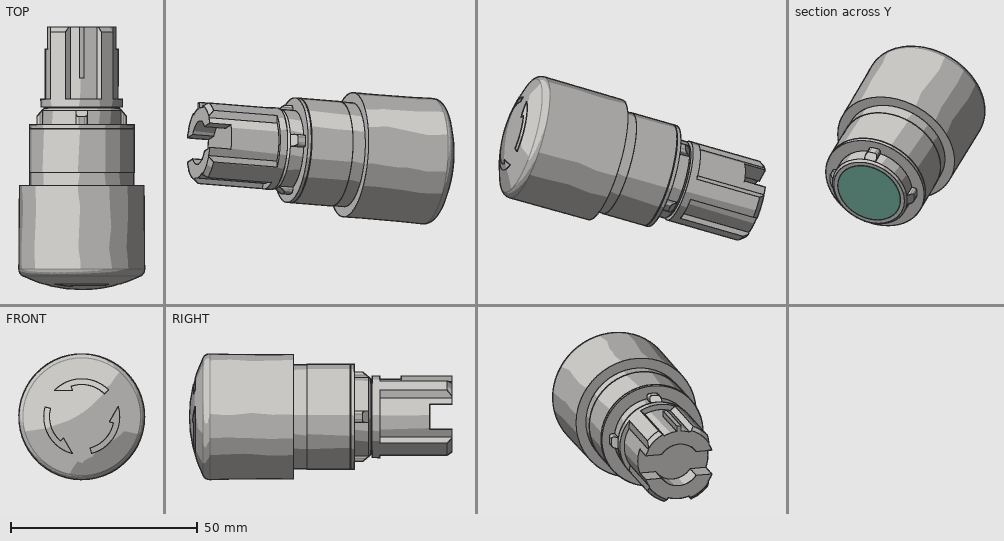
import cadquery as cq
import math

OVERALL_LENGTH = 70.5
REAR_END = 26.2
HEAD_TIP = REAR_END - OVERALL_LENGTH

LOBE_RADIUS = 11.0
LOBE_LENGTH = 19.4
LOBE_CHAMFER_DEPTH = 1.0
LOBE_CHAMFER_LENGTH = 1.35
BORE_DIAMETER = 11.7
SLOT_HEIGHT = 6.7
SLOT_DEPTH = 6.0
KEY_WIDTH = 1.2
KEY_LENGTH = 13.7

GROOVE_CUTTER_RADIUS = 16.0

KEY_FLOOR_RADIUS = 9.5
SIDE_FLOOR_RADIUS = 9.8
GROOVES = [
    (SIDE_FLOOR_RADIUS, -40.2, -33.4, 30.7, 40.4),
    (KEY_FLOOR_RADIUS, 61.4, 64.6, 108.4, 113.3),
    (SIDE_FLOOR_RADIUS, 139.6, 149.3, 213.4, 220.2),
    (KEY_FLOOR_RADIUS, 250.2, 251.9, 288.1, 289.8),
]

FLANGE_FRONT = REAR_END - 21.5
FLANGE_REAR = REAR_END - LOBE_LENGTH
NECK_RADIUS = 9.0
NECK_WIDTH = 0.3

COLLAR_RADIUS = 10.7
COLLAR_REAR = FLANGE_FRONT - NECK_WIDTH
COLLAR_CHAMFER = 0.6
LUG_COUNT = 4
LUG_WIDTH = 3.2
LUG_TOP_RADIUS = 12.05
LUG_REAR = COLLAR_REAR - COLLAR_CHAMFER
LUG_EDGE_FILLET = 0.8
LUG_SLOPE_LENGTH = 1.7
LUG_SLOPE_HEIGHT = LUG_TOP_RADIUS - COLLAR_RADIUS

SLEEVE_RADIUS = 14.1
SLEEVE_FRONT = -12.8
GASKET_THICKNESS = 1.0
GASKET_GROOVE_RADIUS = 13.6
GASKET_GROOVE_WIDTH = 0.15
PLUNGER_RADIUS = 14.0

HEAD_REAR = -16.3
HEAD_REAR_RADIUS = 16.75
HEAD_FRONT_RADIUS = 16.92
DOME_RADIUS = 35.8
HEAD_FILLET = 2.0

ARROW_COUNT = 3
ARROW_OUTER_RADIUS = 10.2
ARROW_INNER_RADIUS = 8.65
ARROW_TAIL_ANGLE = 45.0
ARROW_NECK_ANGLE = 109.0
ARROW_TIP_ANGLE = 136.0
ARROW_BARB_X = -2.5
ARROW_DEPTH = 0.1


def polar(radius, angle):
    """Point in the XZ plane at an angle measured from +X towards +Z."""
    return (radius * math.cos(math.radians(angle)), radius * math.sin(math.radians(angle)))


def section(y):
    """Workplane across the axis; local x is +X, local y is +Z, extrusion runs towards -Y."""
    return cq.Workplane("XZ", origin=(0, y, 0))


def disc(radius, y_rear, y_front):
    return section(y_rear).circle(radius).extrude(y_rear - y_front)


def dome_y(radius):
    """Y of the spherical dome surface at a given distance from the axis."""
    return HEAD_TIP + DOME_RADIUS - math.sqrt(DOME_RADIUS ** 2 - radius ** 2)


def make_head():
    rim_y = dome_y(HEAD_FRONT_RADIUS)
    half_radius = HEAD_FRONT_RADIUS / 2
    head = (
        cq.Workplane("XY")
        .moveTo(0, HEAD_REAR)
        .lineTo(HEAD_REAR_RADIUS, HEAD_REAR)
        .lineTo(HEAD_FRONT_RADIUS, rim_y)
        .threePointArc((half_radius, dome_y(half_radius)), (0, HEAD_TIP))
        .close()
        .revolve(360, (0, 0, 0), (0, 1, 0))
    )
    rim = cq.selectors.NearestToPointSelector((0, rim_y, 0))
    return head.edges(rim).fillet(HEAD_FILLET)


def make_arrows():
    """Three curved arrows, bounded below by a sphere parallel to the dome."""
    tip = polar(ARROW_OUTER_RADIUS, ARROW_TIP_ANGLE)
    crest = polar(ARROW_OUTER_RADIUS, (ARROW_TAIL_ANGLE + ARROW_TIP_ANGLE) / 2)
    inner_crest = polar(ARROW_INNER_RADIUS, (ARROW_TAIL_ANGLE + ARROW_NECK_ANGLE) / 2)
    outline = (
        section(HEAD_REAR)
        .moveTo(*polar(ARROW_OUTER_RADIUS, ARROW_TAIL_ANGLE))
        .threePointArc(crest, tip)
        .lineTo(ARROW_BARB_X, tip[1])
        .lineTo(*polar(ARROW_INNER_RADIUS, ARROW_NECK_ANGLE))
        .threePointArc(inner_crest, polar(ARROW_INNER_RADIUS, ARROW_TAIL_ANGLE))
        .close()
    )
    floor = cq.Workplane("XY").sphere(DOME_RADIUS - ARROW_DEPTH).translate((0, HEAD_TIP + DOME_RADIUS, 0))
    arrow = outline.extrude(HEAD_REAR - HEAD_TIP).cut(floor)
    arrows = arrow
    for i in range(1, ARROW_COUNT):
        arrows = arrows.union(arrow.rotate((0, 0, 0), (0, 1, 0), i * 360 / ARROW_COUNT))
    return arrows


def make_sleeve():
    gasket_front = -GASKET_THICKNESS
    sleeve_rear = gasket_front - GASKET_GROOVE_WIDTH
    gasket = disc(SLEEVE_RADIUS, 0, gasket_front)
    groove_floor = disc(GASKET_GROOVE_RADIUS, gasket_front, sleeve_rear)
    sleeve = disc(SLEEVE_RADIUS, sleeve_rear, SLEEVE_FRONT)
    plunger = disc(PLUNGER_RADIUS, SLEEVE_FRONT, HEAD_REAR)
    return gasket.union(groove_floor).union(sleeve).union(plunger)


def make_lug():
    """One lug on +Z: rounded long edges and a ramp rising from the collar at the rear."""
    lug = (
        section(LUG_REAR)
        .rect(LUG_WIDTH, 2 * LUG_TOP_RADIUS)
        .extrude(LUG_REAR)
        .edges("|Y and >Z")
        .fillet(LUG_EDGE_FILLET)
    )
    ramp = (
        cq.Workplane("YZ", origin=(-LUG_WIDTH, 0, 0))
        .moveTo(LUG_REAR, LUG_TOP_RADIUS)
        .lineTo(LUG_REAR - LUG_SLOPE_LENGTH, LUG_TOP_RADIUS)
        .lineTo(LUG_REAR, LUG_TOP_RADIUS - LUG_SLOPE_HEIGHT)
        .close()
        .extrude(2 * LUG_WIDTH)
    )
    upper_half = cq.Workplane("XY").box(LUG_WIDTH, 2 * LUG_REAR, LUG_TOP_RADIUS, centered=(True, True, False))
    return lug.cut(ramp).intersect(upper_half)


def make_collar():
    collar = disc(COLLAR_RADIUS, COLLAR_REAR, 0).faces(">Y").chamfer(COLLAR_CHAMFER)
    lug = make_lug()
    for i in range(LUG_COUNT):
        collar = collar.union(lug.rotate((0, 0, 0), (0, 1, 0), i * 360 / LUG_COUNT))
    neck = disc(NECK_RADIUS, FLANGE_FRONT, COLLAR_REAR)
    flange = disc(LOBE_RADIUS, FLANGE_REAR, FLANGE_FRONT)
    return collar.union(neck).union(flange)


def make_groove(floor_radius, crest_start, foot_start, foot_end, crest_end):
    """Groove cutter with a round floor and slanted walls, reaching beyond the lobe crests."""
    middle = (crest_start + crest_end) / 2
    return (
        section(REAR_END)
        .moveTo(*polar(floor_radius, foot_start))
        .lineTo(*polar(LOBE_RADIUS, crest_start))
        .lineTo(*polar(GROOVE_CUTTER_RADIUS, crest_start))
        .threePointArc(polar(GROOVE_CUTTER_RADIUS, middle), polar(GROOVE_CUTTER_RADIUS, crest_end))
        .lineTo(*polar(LOBE_RADIUS, crest_end))
        .lineTo(*polar(floor_radius, foot_end))
        .threePointArc(polar(floor_radius, middle), polar(floor_radius, foot_start))
        .close()
        .extrude(LOBE_LENGTH)
    )


def make_socket():
    socket = (
        disc(LOBE_RADIUS, REAR_END, FLANGE_REAR)
        .faces(">Y")
        .edges()
        .chamfer(LOBE_CHAMFER_LENGTH, LOBE_CHAMFER_DEPTH)
    )
    for groove in GROOVES:
        socket = socket.cut(make_groove(*groove))
    key = section(REAR_END).rect(KEY_WIDTH, LOBE_RADIUS, centered=(True, False)).extrude(KEY_LENGTH)
    bore = disc(BORE_DIAMETER / 2, REAR_END, REAR_END - SLOT_DEPTH)
    slot = section(REAR_END).rect(2 * LOBE_RADIUS, SLOT_HEIGHT).extrude(SLOT_DEPTH)
    return socket.union(key).cut(bore).cut(slot)


head = make_head().cut(make_arrows())
result = head.union(make_sleeve()).union(make_collar()).union(make_socket())